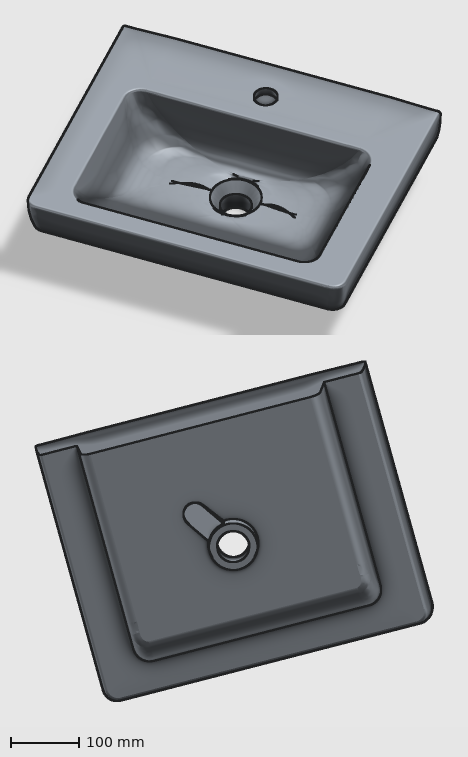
import cadquery as cq
import math


WIDTH = 500.0
DEPTH = 400.0
HEIGHT = 141.5
RIM_TOP = 139.5
RIM_BOTTOM = 81.5
RIM_SIDE_TAPER = 6.5
RIM_FRONT_TAPER = 9.5
RIM_CORNER_RADIUS = 20.0
RIM_EDGE_RADIUS = 5.0

DECK_HALF_WIDTH = 230.0
DECK_FLAT_HALF_WIDTH = 169.5
DECK_DEPTH = 93.0
DECK_RISE = HEIGHT - RIM_TOP
DECK_EMBED = 5.0
TAP_HOLE_DIAMETER = 35.0
TAP_HOLE_DEPTH = 11.5
TAP_HOLE_Y = -64.5

BODY_BOTTOM = 19.0
BODY_TOP_HALF_WIDTH = 187.5
BODY_BOTTOM_HALF_WIDTH = 180.0
BODY_TOP_DEPTH = 345.0
BODY_BOTTOM_DEPTH = 304.0
BODY_FRONT_BULGE = 4.5
BODY_CORNER_RADIUS = 25.0
BODY_EDGE_RADIUS = 15.0

BOWL_SECTIONS = [
    (RIM_TOP, 193.0, -115.0, -365.5, 24.0, 24.0),
    (107.5, 183.0, -118.0, -349.0, 35.0, 27.5),
    (77.5, 167.0, -121.5, -324.0, 50.0, 35.0),
    (51.0, 104.0, -138.0, -260.0, 55.0, 55.0),
    (44.5, 39.0, -146.5, -224.5, 37.5, 37.5),
]
BOWL_FLOOR = BOWL_SECTIONS[-1][0]
BOWL_EDGE_RADIUS = 5.0

DRAIN_Y = -185.5
DRAIN_HOLE_DIAMETER = 47.0
DRAIN_CONE_DIAMETER = 76.0
DRAIN_CONE_DEPTH = 16.0
OUTLET_TOP_RADIUS = 37.0
OUTLET_BOTTOM_RADIUS = 35.5
OVERFLOW_RADIUS = 17.5
OVERFLOW_END_X = 42.0
OVERFLOW_END_Y = -128.0
OVERFLOW_DROP_AT_OUTLET = 13.0
OVERFLOW_DROP_AT_TIP = 2.0
OVERFLOW_EMBED = 5.0

MARGIN = 0.5
NOT_ON_BACK = cq.selectors.InverseSelector(
    cq.selectors.BoxSelector((-WIDTH, -MARGIN, 0), (WIDTH, MARGIN, HEIGHT))
)


def rounded_outline(z, half_width, back, front, back_radius, front_radius):
    """Rectangle at height z whose back corners are square when back_radius is 0."""
    mid = math.sqrt(0.5)
    front_in = front_radius * (1 - mid)
    back_in = back_radius * (1 - mid)
    outline = (
        cq.Workplane("XY", origin=(0, 0, z))
        .moveTo(-half_width, back - back_radius)
        .lineTo(-half_width, front + front_radius)
        .threePointArc((-half_width + front_in, front + front_in), (-half_width + front_radius, front))
        .lineTo(half_width - front_radius, front)
        .threePointArc((half_width - front_in, front + front_in), (half_width, front + front_radius))
        .lineTo(half_width, back - back_radius)
    )
    if back_radius > 0:
        outline = (
            outline
            .threePointArc((half_width - back_in, back - back_in), (half_width - back_radius, back))
            .lineTo(-half_width + back_radius, back)
            .threePointArc((-half_width + back_in, back - back_in), (-half_width, back - back_radius))
        )
    return outline.close().val()


def loft(outlines):
    return cq.Workplane(cq.Solid.makeLoft(outlines))


def make_rim():
    """Slab whose sides and front are upright at the top and curve inwards below."""
    widest = RIM_TOP - RIM_EDGE_RADIUS
    fall = widest - RIM_BOTTOM
    sections = []
    for z in (RIM_BOTTOM, widest - fall / 2, widest, RIM_TOP):
        inset = ((widest - z) / fall) ** 2
        half_width = WIDTH / 2 - RIM_SIDE_TAPER * inset
        front = -DEPTH + RIM_FRONT_TAPER * inset
        sections.append(rounded_outline(z, half_width, 0, front, 0, RIM_CORNER_RADIUS))
    slab = loft(sections)
    for face in ("<Z", ">Z"):
        slab = slab.faces(face).edges(NOT_ON_BACK).fillet(RIM_EDGE_RADIUS)
    return slab


def deck_section(y, rise):
    base = RIM_TOP - DECK_EMBED
    return (
        cq.Workplane("XZ", origin=(0, y, 0))
        .polyline([
            (-DECK_HALF_WIDTH, base),
            (DECK_HALF_WIDTH, base),
            (DECK_HALF_WIDTH, RIM_TOP),
            (DECK_FLAT_HALF_WIDTH, RIM_TOP + rise),
            (-DECK_FLAT_HALF_WIDTH, RIM_TOP + rise),
            (-DECK_HALF_WIDTH, RIM_TOP),
        ])
        .close()
        .val()
    )


def make_deck():
    """Pad that falls away in a flat arc to the front and in straight slopes to both sides."""
    sections = []
    for run in (0.0, 0.5, 1.0):
        sections.append(deck_section(-run * DECK_DEPTH, DECK_RISE * (1 - run**2)))
    return loft(sections)


def make_underbody():
    chord_y = -(BODY_TOP_DEPTH + BODY_BOTTOM_DEPTH) / 2
    chord_z = (RIM_BOTTOM + BODY_BOTTOM) / 2
    side_profile = (
        cq.Workplane("YZ")
        .moveTo(0, RIM_BOTTOM)
        .lineTo(0, BODY_BOTTOM)
        .lineTo(-BODY_BOTTOM_DEPTH, BODY_BOTTOM)
        .threePointArc(
            (chord_y - BODY_FRONT_BULGE, chord_z - BODY_FRONT_BULGE / 2), (-BODY_TOP_DEPTH, RIM_BOTTOM)
        )
        .close()
        .extrude(WIDTH / 2, both=True)
    )
    front_profile = (
        cq.Workplane("XZ")
        .polyline([
            (-BODY_TOP_HALF_WIDTH, RIM_BOTTOM),
            (BODY_TOP_HALF_WIDTH, RIM_BOTTOM),
            (BODY_BOTTOM_HALF_WIDTH, BODY_BOTTOM),
            (-BODY_BOTTOM_HALF_WIDTH, BODY_BOTTOM),
        ])
        .close()
        .extrude(DEPTH)
    )
    body = side_profile.intersect(front_profile)
    front_corners = cq.selectors.BoxSelector(
        (-WIDTH, -DEPTH, BODY_BOTTOM + MARGIN), (WIDTH, -BODY_BOTTOM_DEPTH, RIM_BOTTOM - MARGIN)
    )
    body = body.edges(front_corners).fillet(BODY_CORNER_RADIUS)
    return body.faces("<Z").edges(NOT_ON_BACK).fillet(BODY_EDGE_RADIUS)


def make_outlet():
    cone = cq.Solid.makeCone(OUTLET_BOTTOM_RADIUS, OUTLET_TOP_RADIUS, BODY_BOTTOM)
    return cq.Workplane(cone).translate((0, DRAIN_Y, 0))


def make_overflow():
    """Round-ended lug leaving the outlet diagonally, with an underside that rises to its tip."""
    run_y = OVERFLOW_END_Y - DRAIN_Y
    length = math.hypot(OVERFLOW_END_X, run_y)
    angle = math.degrees(math.atan2(run_y, OVERFLOW_END_X))
    tip = length + OVERFLOW_RADIUS
    plan = (
        cq.Workplane("XY")
        .center(length / 2, 0)
        .slot2D(length + 2 * OVERFLOW_RADIUS, 2 * OVERFLOW_RADIUS)
        .extrude(BODY_BOTTOM + OVERFLOW_EMBED)
    )
    ramp = (
        cq.Workplane("XZ")
        .polyline([
            (0, BODY_BOTTOM + OVERFLOW_EMBED),
            (0, BODY_BOTTOM - OVERFLOW_DROP_AT_OUTLET),
            (OUTLET_BOTTOM_RADIUS, BODY_BOTTOM - OVERFLOW_DROP_AT_OUTLET),
            (tip, BODY_BOTTOM - OVERFLOW_DROP_AT_TIP),
            (tip, BODY_BOTTOM + OVERFLOW_EMBED),
        ])
        .close()
        .extrude(OVERFLOW_RADIUS, both=True)
    )
    lug = plan.intersect(ramp)
    return lug.rotate((0, 0, 0), (0, 0, 1), angle).translate((0, DRAIN_Y, 0))


def make_drain_cut():
    hole_radius = DRAIN_HOLE_DIAMETER / 2
    cone_radius = DRAIN_CONE_DIAMETER / 2
    cone_bottom = BOWL_FLOOR - DRAIN_CONE_DEPTH
    return (
        cq.Workplane("XZ", origin=(0, DRAIN_Y, 0))
        .polyline([
            (0, 0),
            (hole_radius, 0),
            (hole_radius, cone_bottom),
            (cone_radius, BOWL_FLOOR),
            (0, BOWL_FLOOR),
        ])
        .close()
        .revolve(360, (0, 0), (0, 1))
    )


def round_bowl_edge(basin):
    _, half_width, back, front, _, _ = BOWL_SECTIONS[0]
    bowl_edges = cq.selectors.BoxSelector(
        (-half_width - MARGIN, front - MARGIN, RIM_TOP - MARGIN),
        (half_width + MARGIN, back + MARGIN, RIM_TOP + MARGIN),
        boundingbox=True,
    )
    return basin.edges(bowl_edges).fillet(BOWL_EDGE_RADIUS)


bowl = loft([rounded_outline(*section) for section in BOWL_SECTIONS])
tap_hole = (
    cq.Workplane("XY", origin=(0, TAP_HOLE_Y, RIM_TOP - TAP_HOLE_DEPTH))
    .circle(TAP_HOLE_DIAMETER / 2)
    .extrude(TAP_HOLE_DEPTH + DECK_RISE)
)

basin = make_rim().union(make_underbody()).cut(bowl)
basin = round_bowl_edge(basin)
basin = basin.union(make_deck()).union(make_outlet()).union(make_overflow())
result = basin.cut(tap_hole).cut(make_drain_cut())